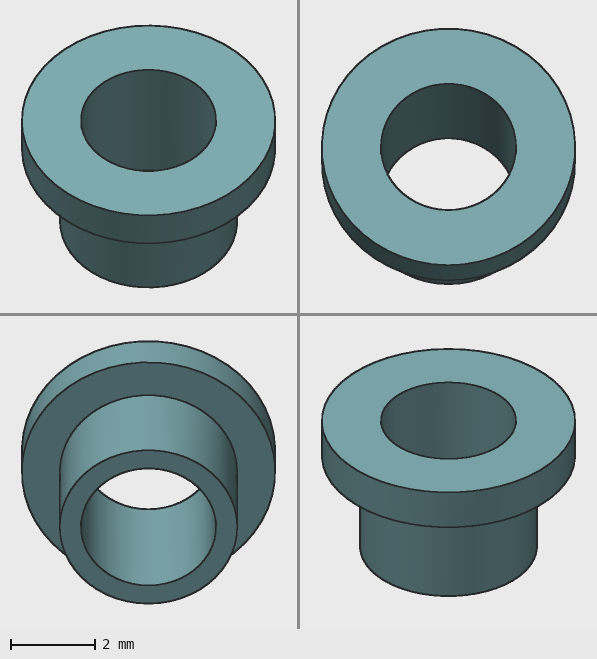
import cadquery as cq

flange_diameter = 6.0
flange_thickness = 1.0
sleeve_diameter = 4.2
bore_diameter = 3.2
total_height = 3.6

sleeve_length = total_height - flange_thickness

sleeve = cq.Workplane("XY").circle(sleeve_diameter / 2).extrude(sleeve_length)

flange = (
    cq.Workplane("XY")
    .workplane(offset=sleeve_length)
    .circle(flange_diameter / 2)
    .extrude(flange_thickness)
)

bore = cq.Workplane("XY").circle(bore_diameter / 2).extrude(total_height)

result = sleeve.union(flange).cut(bore)